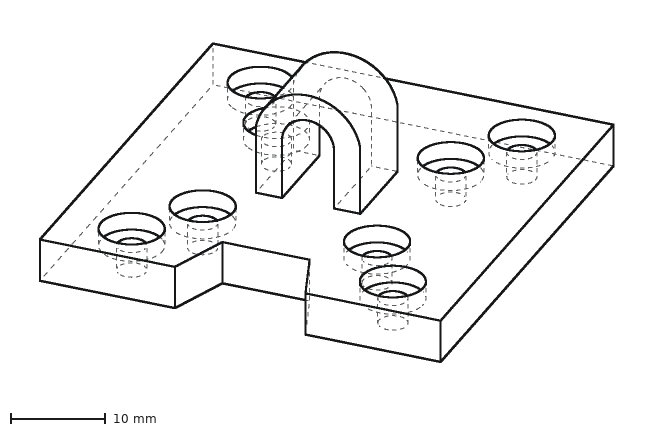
import cadquery as cq

plate_width = 46.0
plate_length = 47.0
plate_thickness = 5.0

notch_mouth_width = 15.0
notch_floor_width = 10.0
notch_depth = 7.0

hole_diameter = 3.2
counterbore_diameter = 7.0
counterbore_depth = 2.0
inner_hole_spacing = 20.0
outer_hole_spacing_x = 30.0
outer_hole_spacing_y = 35.0

total_height = 17.95
loop_outer_width = 12.0
loop_wall = 3.0
loop_length = 10.15
outer_arch_rise = 5.0
loop_inner_width = loop_outer_width - 2 * loop_wall
inner_arch_rise = loop_inner_width / 2


def make_plate():
    """Flat plate with its underside at Z = 0, centred in X and Y."""
    return cq.Workplane("XY").box(
        plate_width, plate_length, plate_thickness, centered=(True, True, False)
    )


def make_notch():
    """Trapezoidal cutter, widest at the front edge of the plate."""
    front = -plate_length / 2
    floor = front + notch_depth
    return (
        cq.Workplane("XY")
        .moveTo(-notch_mouth_width / 2, front)
        .lineTo(-notch_floor_width / 2, floor)
        .lineTo(notch_floor_width / 2, floor)
        .lineTo(notch_mouth_width / 2, front)
        .close()
        .extrude(plate_thickness)
    )


def drill_holes(body, spacing_x, spacing_y):
    """Drill four counterbored holes on a centred rectangle."""
    return (
        body.faces(">Z")
        .workplane(origin=(0, 0, plate_thickness))
        .rect(spacing_x, spacing_y, forConstruction=True)
        .vertices()
        .cboreHole(hole_diameter, counterbore_diameter, counterbore_depth)
    )


def make_arch(width, top, rise):
    """Solid block on the plate, its top an arc that climbs by the given rise."""
    side = width / 2
    shoulder = top - rise
    return (
        cq.Workplane("XZ")
        .moveTo(-side, plate_thickness)
        .lineTo(-side, shoulder)
        .threePointArc((0, top), (side, shoulder))
        .lineTo(side, plate_thickness)
        .close()
        .extrude(loop_length / 2, both=True)
    )


plate = make_plate().cut(make_notch())
plate = drill_holes(plate, inner_hole_spacing, inner_hole_spacing)
plate = drill_holes(plate, outer_hole_spacing_x, outer_hole_spacing_y)
loop_block = make_arch(loop_outer_width, total_height, outer_arch_rise)
loop_opening = make_arch(loop_inner_width, total_height - loop_wall, inner_arch_rise)
loop = loop_block.cut(loop_opening)

result = plate.union(loop)